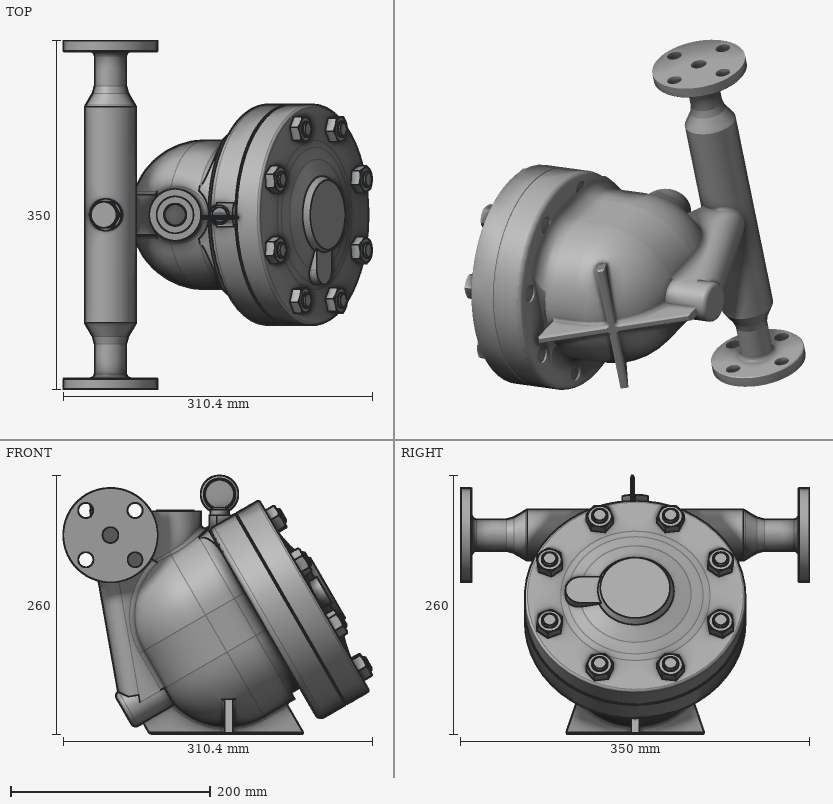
import cadquery as cq
import math

BODY_TILT = 30.0

MANIFOLD_LENGTH = 350.0
FLANGE_D = 95.0
FLANGE_T = 11.0
FLANGE_CHAMFER = 1.0
FLANGE_BORE_D = 16.0
FLANGE_BORE_DEPTH = 30.0
FLANGE_HOLE_D = 15.0
FLANGE_PITCH_D = 70.0
NECK_D = 32.0
NECK_FILLET = 4.5
COLLAR_D = 36.0
COLLAR_OUTER_Y = 129.5
COLLAR_INNER_Y = 122.0
CONE_HALF_LENGTH = 110.6
CONE_D = 49.5
PIPE_D = 52.0
PIPE_HALF_LENGTH = 108.4

COLUMN_D = 40.0
COLUMN_TILT = 10.0
COLUMN_LENGTH = 163.0
COLUMN_FILLET = 3.0
WEB_T = COLUMN_D
WEB_TOP_Z = -38.0
WEB_FILLET = 5.5
HEX_AF = 26.0
HEX_CHAMFER = 1.0
TOP_PLUG_COLLAR_D = 32.0
TOP_PLUG_COLLAR_END = 28.0
TOP_PLUG_END = 39.0

BODY_R = 75.0
LOWER_CENTRE_Z = -160.0
DOME_TIP_X = -32.5
BODY_FLANGE_D = 222.0
BODY_FLANGE_BACK_X = 88.0
BODY_FLANGE_FILLET = 6.0
NECK_FLARE_R = 12.0
FLARE_START_X = BODY_FLANGE_BACK_X - NECK_FLARE_R
GASKET_X = 119.0
GASKET_T = 1.5
GASKET_INSET = 1.0
COVER_FACE_X = 147.0
COVER_FILLET = 2.5
COVER_Z = -155.0
UPPER_CENTRE_Z = -117.0
NOTCH_X = 78.0
NOTCH_TOP_Z = -228.0

RIM_R = 75.0
RIM_CREST_R = 68.0
RIM_TOP_X = 148.0
CONE_START_R = 56.0
CONE_START_X = 150.5
CAP_CONE_R = 39.0
CAP_CONE_X = 156.0
CAP_R = 35.0
CAP_TOP_X = 162.5
PAD_W = 30.0
PAD_REACH = 70.0
PAD_TOP_X = 158.5

STUD_COUNT = 8
STUD_PITCH_D = 186.0
STUD_D = 16.0
STUD_END_X = 160.5
STUD_CHAMFER = 1.5
NUT_AF = 24.0
NUT_END_X = 157.5
STUDS_ABOVE_NECK = (0, 7)
STUD_HOLE_D = 18.0
STUD_HOLE_DEPTH = 2.0

ELBOW_D = 40.0
ELBOW_END_X = -76.7
ELBOW_FILLET = 5.0

SOCKET_D = 52.0
SOCKET_X = 65.0
SOCKET_TOP_Z = 24.0
SOCKET_BASE_Z = -80.0
SOCKET_FILLET = 4.0
SOCKET_FACE_D = 37.0
SOCKET_FACE_H = 0.7
SOCKET_BORE_D = 21.0
SOCKET_BORE_DEPTH = 25.0
SOCKET_BORE_CHAMFER = 0.8

EYE_X = 109.6
EYE_Y = -2.8
EYE_Z = 41.0
EYE_R = 19.0
EYE_EDGE_T = 1.2
EYE_CREST_R = 16.0
EYE_CREST_T = 3.6
EYE_DISH_R = 14.5
EYE_DISH_T = 1.2
EYE_CAP_D = 19.0
EYE_CAP_TOP_Z = 27.5
EYE_CAP_CHAMFER = 2.0
EYE_BOSS_D = 21.0
EYE_BOSS_TOP_Z = 20.0
EYE_BOSS_BASE_Z = -20.0
EYE_PAD_W = 24.5
EYE_PAD_START_X = 107.0
EYE_PAD_END_X = 124.0

DRAIN_X = 102.8
DRAIN_Z = -162.0
DRAIN_D = 48.0
DRAIN_END_Y = -76.5
DRAIN_FACE_D = 44.0
DRAIN_FACE_Y = -80.0
DRAIN_PLUG_Y = -92.0
DRAIN_FILLET = 2.5

FOOT_Z = -200.0
FOOT_T = 8.0
FOOT_LEFT_X = 39.5
FOOT_RIGHT_X = 194.7
FOOT_SIDE_SLOPE = 60.0
FOOT_LEFT_TOP_Z = -180.0
FOOT_TOP_Z = -130.0
CROSS_RIB_X = 118.8
CROSS_RIB_HALF_W = 70.0
CROSS_RIB_SLOPE = 71.0
FOOT_CHAMFER = 1.8
FOOT_FILLET = 3.0
FOOT_JOINT_TOP_Z = -165.0
SAME_POINT = 0.001


def hex_head(flats, start, end):
    """Hexagonal prism along Z with a chamfered crown at its far end."""
    across_corners = flats / math.cos(math.pi / 6)
    length = end - start
    prism = cq.Workplane("XY").workplane(offset=start).polygon(6, across_corners).extrude(length)
    crown = cq.Workplane("XY").workplane(offset=start).circle(across_corners / 2).extrude(length)
    crown = crown.faces(">Z").chamfer(HEX_CHAMFER, (across_corners - flats) / 2)
    return prism.intersect(crown)


def fillet_joint(shape, low_corner, high_corner, kind, radius):
    """Fillet the edges of one curve kind whose centres lie in the given box."""
    box = cq.selectors.BoxSelector(low_corner, high_corner)
    joint = [edge for edge in shape.edges(box).vals() if edge.geomType() == kind]
    return shape.newObject(joint).fillet(radius)


def x_cylinder(diameter, x_start, x_end, z):
    """Cylinder along X at height z."""
    return cq.Workplane("YZ", origin=(x_start, 0, z)).circle(diameter / 2).extrude(x_end - x_start)


def tilt_body(shape):
    """Turn a shape from the body frame into the part frame."""
    return shape.rotate((0, 0, 0), (0, 1, 0), -BODY_TILT)


def make_manifold():
    end = MANIFOLD_LENGTH / 2
    flange_inner = end - FLANGE_T
    end_piece = (
        cq.Workplane("XY")
        .moveTo(0, PIPE_HALF_LENGTH)
        .lineTo(PIPE_D / 2, PIPE_HALF_LENGTH)
        .lineTo(CONE_D / 2, CONE_HALF_LENGTH)
        .lineTo(COLLAR_D / 2, COLLAR_INNER_Y)
        .lineTo(NECK_D / 2, COLLAR_OUTER_Y)
        .lineTo(NECK_D / 2, flange_inner - NECK_FILLET)
        .radiusArc((NECK_D / 2 + NECK_FILLET, flange_inner), NECK_FILLET)
        .lineTo(FLANGE_D / 2 - FLANGE_CHAMFER, flange_inner)
        .lineTo(FLANGE_D / 2, flange_inner + FLANGE_CHAMFER)
        .lineTo(FLANGE_D / 2, end)
        .lineTo(0, end)
        .close()
        .revolve(360, (0, 0, 0), (0, 1, 0))
    )
    hole_offset = FLANGE_PITCH_D / 2 / math.sqrt(2)
    holes = (
        cq.Workplane("XZ", origin=(0, end, 0))
        .rect(2 * hole_offset, 2 * hole_offset, forConstruction=True)
        .vertices()
        .circle(FLANGE_HOLE_D / 2)
        .extrude(FLANGE_T)
    )
    bore = cq.Workplane("XZ", origin=(0, end, 0)).circle(FLANGE_BORE_D / 2).extrude(FLANGE_BORE_DEPTH)
    end_piece = end_piece.cut(holes).cut(bore)
    pipe = cq.Workplane("XZ", origin=(0, PIPE_HALF_LENGTH, 0)).circle(PIPE_D / 2)
    pipe = pipe.extrude(2 * PIPE_HALF_LENGTH)
    return pipe.union(end_piece).union(end_piece.mirror("XZ"))


def make_manifold_and_column():
    column = cq.Workplane("XY").circle(COLUMN_D / 2).extrude(-COLUMN_LENGTH)
    column = column.rotate((0, 0, 0), (0, 1, 0), -COLUMN_TILT)
    return fillet_joint(
        make_manifold().union(column),
        (-PIPE_D / 2, -COLUMN_D / 2, -PIPE_D / 2),
        (PIPE_D / 2, COLUMN_D / 2, 0),
        "BSPLINE",
        COLUMN_FILLET,
    )


def make_top_plug():
    collar = cq.Workplane("XY").circle(TOP_PLUG_COLLAR_D / 2).extrude(TOP_PLUG_COLLAR_END)
    plug = collar.union(hex_head(HEX_AF, TOP_PLUG_COLLAR_END, TOP_PLUG_END))
    return plug.rotate((0, 0, 0), (0, 1, 0), -COLUMN_TILT)


def wall_profile(end_x):
    """Dome and straight wall, from the dome tip to the given place."""
    return (
        cq.Workplane("XY")
        .moveTo(DOME_TIP_X, 0)
        .radiusArc((DOME_TIP_X + BODY_R, BODY_R), BODY_R)
        .lineTo(end_x, BODY_R)
        .lineTo(end_x, 0)
        .close()
    )


def flare_profile():
    """Concave flare between the straight wall and the back of the body flange."""
    return (
        cq.Workplane("XY")
        .moveTo(FLARE_START_X, 0)
        .lineTo(FLARE_START_X, BODY_R)
        .radiusArc((BODY_FLANGE_BACK_X, BODY_R + NECK_FLARE_R), -NECK_FLARE_R)
        .lineTo(BODY_FLANGE_BACK_X, 0)
        .close()
    )


def lengthen_round(profile):
    """Two round halves of the profile, one above the other, joined by a straight stretch."""
    outline = profile.val()
    half_round = cq.Workplane("XY").add(outline).toPending().revolve(360, (0, 0, 0), (1, 0, 0))
    straight = cq.Workplane("XY").add(outline).toPending().extrude(UPPER_CENTRE_Z - LOWER_CENTRE_Z)
    straight = straight.union(straight.mirror("XZ")).translate((0, 0, LOWER_CENTRE_Z))
    upper = half_round.translate((0, 0, UPPER_CENTRE_Z))
    lower = half_round.translate((0, 0, LOWER_CENTRE_Z))
    return upper.union(straight).union(lower)


def make_shell():
    """Domed wall and flare, the flare kept inside the flange outline."""
    outline = x_cylinder(BODY_FLANGE_D, FLARE_START_X, BODY_FLANGE_BACK_X, COVER_Z)
    flare = lengthen_round(flare_profile()).intersect(outline)
    shell = lengthen_round(wall_profile(FLARE_START_X)).union(flare)
    return tilt_body(shell)


def make_notch():
    """Clearance between the lower end of the wall and the body flange."""
    width = BODY_FLANGE_BACK_X - NOTCH_X
    notch = cq.Workplane("XY").box(width, 2 * BODY_R, BODY_R, centered=(False, True, False))
    return tilt_body(notch.translate((NOTCH_X, 0, NOTCH_TOP_Z - BODY_R)))


def make_body_flange():
    gasket_end = GASKET_X + GASKET_T
    back = x_cylinder(BODY_FLANGE_D, BODY_FLANGE_BACK_X, GASKET_X, COVER_Z)
    back = back.faces("<X").edges().fillet(BODY_FLANGE_FILLET)
    gasket = x_cylinder(BODY_FLANGE_D - 2 * GASKET_INSET, GASKET_X, gasket_end, COVER_Z)
    cover = x_cylinder(BODY_FLANGE_D, gasket_end, COVER_FACE_X, COVER_Z)
    cover = cover.faces(">X").edges().fillet(COVER_FILLET)
    return back.union(gasket).union(cover)


def make_cover_centre():
    centre = (
        cq.Workplane("XY")
        .moveTo(COVER_FACE_X, 0)
        .lineTo(COVER_FACE_X, RIM_R)
        .lineTo(RIM_TOP_X, RIM_CREST_R)
        .lineTo(CONE_START_X, CONE_START_R)
        .lineTo(CAP_CONE_X, CAP_CONE_R)
        .lineTo(CAP_TOP_X, CAP_R)
        .lineTo(CAP_TOP_X, 0)
        .close()
        .revolve(360, (0, 0, 0), (1, 0, 0))
        .translate((0, 0, COVER_Z))
    )
    pad_height = PAD_TOP_X - COVER_FACE_X
    pad_end_y = -(PAD_REACH - PAD_W / 2)
    pad_plane = cq.Workplane("YZ", origin=(COVER_FACE_X, 0, COVER_Z))
    pad_end = pad_plane.center(pad_end_y, 0).circle(PAD_W / 2).extrude(pad_height)
    pad = pad_plane.center(pad_end_y / 2, 0).rect(-pad_end_y, PAD_W).extrude(pad_height)
    return centre.union(pad).union(pad_end)


def make_stud():
    """Nut and stud end along X, standing on the cover face."""
    stud = cq.Workplane("XY").workplane(offset=COVER_FACE_X).circle(STUD_D / 2)
    stud = stud.extrude(STUD_END_X - COVER_FACE_X).faces(">Z").chamfer(STUD_CHAMFER)
    stud = stud.union(hex_head(NUT_AF, COVER_FACE_X, NUT_END_X))
    return stud.rotate((0, 0, 0), (0, 1, 0), 90)


def place_on_stud_circle(shape, index):
    angle = 360.0 / STUD_COUNT * (index + 0.5)
    moved = shape.translate((0, 0, STUD_PITCH_D / 2)).rotate((0, 0, 0), (1, 0, 0), angle)
    return moved.translate((0, 0, COVER_Z))


def make_elbow_boss():
    boss = x_cylinder(ELBOW_D, ELBOW_END_X, DOME_TIP_X + BODY_R, LOWER_CENTRE_Z)
    return boss.faces("<X").edges().fillet(ELBOW_FILLET)


def make_flange_group():
    """Flange, cover, fastenings and elbow boss in the part frame."""
    group = make_body_flange()
    spot_face = x_cylinder(STUD_HOLE_D, FLARE_START_X, BODY_FLANGE_BACK_X + STUD_HOLE_DEPTH, 0)
    stud = make_stud()
    for index in range(STUD_COUNT):
        group = group.union(place_on_stud_circle(stud, index))
        if index not in STUDS_ABOVE_NECK:
            group = group.cut(place_on_stud_circle(spot_face, index))
    group = group.union(make_cover_centre()).union(make_elbow_boss())
    return tilt_body(group)


def make_web():
    """Plate from the column and the elbow boss to the body, as thick as both of them."""
    boss_slope = math.tan(math.radians(BODY_TILT))
    column_slope = math.tan(math.radians(COLUMN_TILT))
    boss_axis_z = LOWER_CENTRE_Z / math.cos(math.radians(BODY_TILT))
    corner_z = boss_axis_z / (1 + boss_slope * column_slope)
    corner_x = -corner_z * column_slope
    return (
        cq.Workplane("XZ")
        .moveTo(0, 0)
        .lineTo(corner_x, corner_z)
        .lineTo(SOCKET_X, boss_axis_z + SOCKET_X * boss_slope)
        .lineTo(SOCKET_X, WEB_TOP_Z)
        .close()
        .extrude(WEB_T / 2, both=True)
    )


def make_socket():
    """Socket with its fillet and the patch of body wall around it."""
    reach = SOCKET_D / 2 + 2 * SOCKET_FILLET
    socket = cq.Workplane("XY", origin=(SOCKET_X, 0, SOCKET_BASE_Z)).circle(SOCKET_D / 2)
    socket = socket.extrude(SOCKET_TOP_Z - SOCKET_BASE_Z)
    wall = tilt_body(lengthen_round(wall_profile(GASKET_X)))
    blended = fillet_joint(
        wall.union(socket),
        (SOCKET_X - reach, -reach, SOCKET_BASE_Z),
        (SOCKET_X + reach, reach, SOCKET_TOP_Z - SOCKET_D / 4),
        "BSPLINE",
        SOCKET_FILLET,
    )
    patch = cq.Workplane("XY", origin=(SOCKET_X, 0, SOCKET_BASE_Z)).circle(reach)
    patch = patch.extrude(SOCKET_TOP_Z - SOCKET_BASE_Z)
    face = cq.Workplane("XY", origin=(SOCKET_X, 0, SOCKET_TOP_Z)).circle(SOCKET_FACE_D / 2)
    return blended.intersect(patch).union(face.extrude(SOCKET_FACE_H))


def make_socket_bore():
    top_z = SOCKET_TOP_Z + SOCKET_FACE_H
    plane = cq.Workplane("XY", origin=(SOCKET_X, 0, top_z))
    bore = plane.circle(SOCKET_BORE_D / 2).extrude(-SOCKET_BORE_DEPTH)
    mouth = cq.Solid.makeCone(
        SOCKET_BORE_D / 2 + SOCKET_BORE_CHAMFER,
        SOCKET_BORE_D / 2,
        SOCKET_BORE_CHAMFER,
        pnt=cq.Vector(SOCKET_X, 0, top_z),
        dir=cq.Vector(0, 0, -1),
    )
    return bore.union(cq.Workplane(obj=mouth))


def make_eye():
    """Dished disc standing on a capped boss that joins the body flange."""
    base = cq.Workplane("XY", origin=(EYE_X, 0, EYE_BOSS_BASE_Z))
    boss = base.circle(EYE_BOSS_D / 2).extrude(EYE_BOSS_TOP_Z - EYE_BOSS_BASE_Z)
    cap = base.circle(EYE_CAP_D / 2).extrude(EYE_CAP_TOP_Z - EYE_BOSS_BASE_Z)
    cap = cap.faces(">Z").chamfer(EYE_CAP_CHAMFER)
    pad_x = (EYE_PAD_START_X + EYE_PAD_END_X) / 2
    pad = cq.Workplane("XY", origin=(pad_x, 0, EYE_BOSS_BASE_Z))
    pad = pad.rect(EYE_PAD_END_X - EYE_PAD_START_X, EYE_PAD_W)
    pad = pad.extrude(EYE_BOSS_TOP_Z - EYE_BOSS_BASE_Z)
    disc = (
        cq.Workplane("XY")
        .moveTo(0, -EYE_DISH_T / 2)
        .lineTo(EYE_DISH_R, -EYE_DISH_T / 2)
        .lineTo(EYE_CREST_R, -EYE_CREST_T / 2)
        .lineTo(EYE_R, -EYE_EDGE_T / 2)
        .lineTo(EYE_R, EYE_EDGE_T / 2)
        .lineTo(EYE_CREST_R, EYE_CREST_T / 2)
        .lineTo(EYE_DISH_R, EYE_DISH_T / 2)
        .lineTo(0, EYE_DISH_T / 2)
        .close()
        .revolve(360, (0, 0, 0), (0, 1, 0))
        .translate((EYE_X, EYE_Y, EYE_Z))
    )
    return boss.union(pad).union(cap).union(disc)


def make_drain():
    plane = cq.Workplane("XZ", origin=(DRAIN_X, 0, DRAIN_Z))
    socket = plane.circle(DRAIN_D / 2).extrude(-DRAIN_END_Y)
    socket = socket.union(plane.circle(DRAIN_FACE_D / 2).extrude(-DRAIN_FACE_Y))
    head = hex_head(HEX_AF, -DRAIN_FACE_Y, -DRAIN_PLUG_Y).rotate((0, 0, 0), (0, 0, 1), 90)
    head = head.rotate((0, 0, 0), (1, 0, 0), 90).translate((DRAIN_X, 0, DRAIN_Z))
    return socket.union(head)


def make_foot():
    side_slope = math.tan(math.radians(FOOT_SIDE_SLOPE))
    right_run = (FOOT_TOP_Z - FOOT_Z) / side_slope
    left_run = (FOOT_LEFT_TOP_Z - FOOT_Z) / side_slope
    cross_run = (FOOT_TOP_Z - FOOT_Z) / math.tan(math.radians(CROSS_RIB_SLOPE))
    long_rib = (
        cq.Workplane("XZ")
        .moveTo(FOOT_LEFT_X, FOOT_Z)
        .lineTo(FOOT_RIGHT_X, FOOT_Z)
        .lineTo(FOOT_RIGHT_X - right_run, FOOT_TOP_Z)
        .lineTo(CROSS_RIB_X, FOOT_TOP_Z)
        .lineTo(FOOT_LEFT_X - left_run, FOOT_LEFT_TOP_Z)
        .close()
        .extrude(FOOT_T / 2, both=True)
    )
    cross_rib = (
        cq.Workplane("YZ", origin=(CROSS_RIB_X, 0, 0))
        .moveTo(-CROSS_RIB_HALF_W, FOOT_Z)
        .lineTo(CROSS_RIB_HALF_W, FOOT_Z)
        .lineTo(CROSS_RIB_HALF_W - cross_run, FOOT_TOP_Z)
        .lineTo(-CROSS_RIB_HALF_W + cross_run, FOOT_TOP_Z)
        .close()
        .extrude(FOOT_T / 2, both=True)
    )
    foot = long_rib.union(cross_rib)
    near_corner = cq.selectors.BoxSelector(
        (CROSS_RIB_X - FOOT_T, -FOOT_T, FOOT_Z + 1),
        (CROSS_RIB_X + FOOT_T, FOOT_T, FOOT_TOP_Z - 1),
    )
    foot = foot.edges("|Z").edges(near_corner).fillet(FOOT_FILLET)
    return foot.faces("<Z").edges().chamfer(FOOT_CHAMFER)


def blend_foot(shell, foot):
    """Join the foot to the shell and fillet the curved edges that the joint creates."""
    joined = shell.union(foot)
    known = [edge.Center() for edge in shell.edges().vals() + foot.edges().vals()]
    joint = []
    for edge in joined.edges().vals():
        is_new = all((edge.Center() - centre).Length > SAME_POINT for centre in known)
        if is_new and edge.geomType() != "LINE" and edge.Center().z < FOOT_JOINT_TOP_Z:
            joint.append(edge)
    return joined.newObject(joint).fillet(FOOT_FILLET)


def make_casting():
    """Shell with its foot, drain, web and socket blended in."""
    shell = make_shell()
    with_drain = fillet_joint(
        shell.union(make_drain()),
        (DRAIN_X - DRAIN_D, DRAIN_END_Y + 1, DRAIN_Z - DRAIN_D),
        (DRAIN_X + DRAIN_D, 0, DRAIN_Z + DRAIN_D),
        "BSPLINE",
        DRAIN_FILLET,
    )
    with_web = shell.union(make_web())
    for side_y in (-WEB_T / 2, WEB_T / 2):
        with_web = fillet_joint(
            with_web,
            (0, side_y - 0.1, LOWER_CENTRE_Z),
            (SOCKET_X, side_y + 0.1, 0),
            "CIRCLE",
            WEB_FILLET,
        )
    casting = blend_foot(shell, make_foot())
    for branch in (with_drain, with_web, make_socket()):
        casting = casting.union(branch)
    return casting.cut(make_notch())


result = make_casting()
for piece in (
    make_flange_group(),
    make_eye(),
    make_manifold_and_column(),
    make_top_plug(),
):
    result = result.union(piece)
result = result.cut(make_socket_bore())